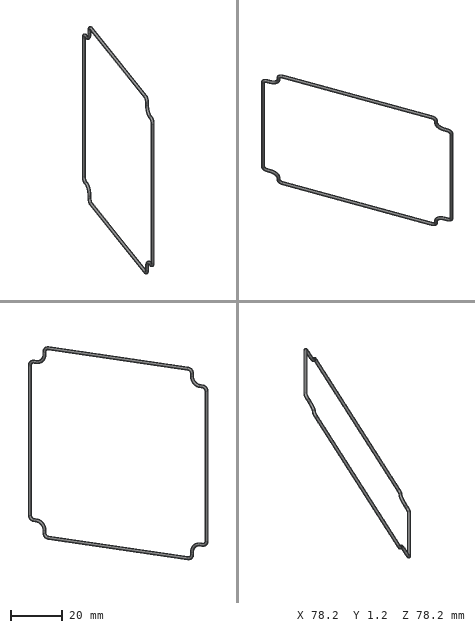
import cadquery as cq
import math

outer_side = 78.2
wire_diameter = 1.2
outer_bend_radius = 1.7
notch_bend_radius = 3.5
link_length = 1.1
corner_count = 4

side_position = (outer_side - wire_diameter) / 2
link_start = side_position - outer_bend_radius
notch_centre = link_start - link_length
notch_position = notch_centre - notch_bend_radius
side_end = notch_position - outer_bend_radius


def bend_middle(centre_x, centre_z, radius, angle):
    """Middle point of a bend, at the given angle in degrees about its centre."""
    direction = math.radians(angle)
    return (centre_x + radius * math.cos(direction), centre_z + radius * math.sin(direction))


def quarter_turns(point, turns):
    """Turn a point counterclockwise about the ring centre."""
    x, z = point
    for _ in range(turns):
        x, z = -z, x
    return (x, z)


def add_side_and_notch(path, turns):
    """Add one long side and the notch that follows it, going counterclockwise."""
    first_middle = bend_middle(link_start, side_end, outer_bend_radius, 45)
    notch_middle = bend_middle(notch_centre, notch_centre, notch_bend_radius, 225)
    last_middle = bend_middle(side_end, link_start, outer_bend_radius, 45)

    def place(x, z):
        return quarter_turns((x, z), turns)

    return (
        path.lineTo(*place(side_position, side_end))
        .threePointArc(place(*first_middle), place(link_start, notch_position))
        .lineTo(*place(notch_centre, notch_position))
        .threePointArc(place(*notch_middle), place(notch_position, notch_centre))
        .lineTo(*place(notch_position, link_start))
        .threePointArc(place(*last_middle), place(side_end, side_position))
    )


centreline = cq.Workplane("XZ").moveTo(side_position, -side_end)
for turn in range(corner_count):
    centreline = add_side_and_notch(centreline, turn)
centreline = centreline.wire()

wire_section = cq.Workplane("XY", origin=(side_position, 0, -side_end)).circle(wire_diameter / 2)
result = wire_section.sweep(centreline)